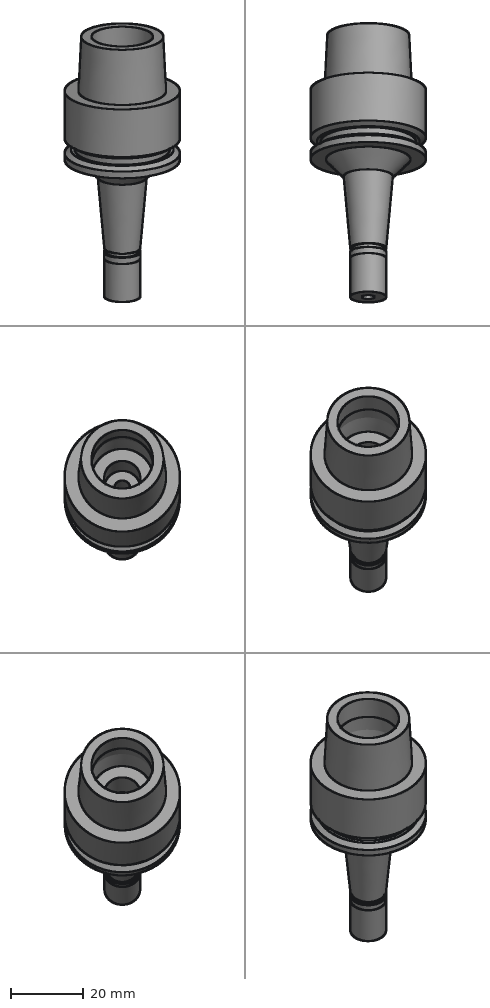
import cadquery as cq

overall_height = 76.0
collar_bottom_z = 11.2
collar_top_z = 13.0
neck_bottom_z = 14.1
neck_top_z = 34.95
flange_bottom_z = 40.0
lower_chamfer_z = 41.95
grip_groove_height = 2.1
grip_chamfer_height = 1.1
shoulder_z = 60.1

flange_radius = 32.0 / 2
grip_groove_radius = 13.2
grip_chamfer_width = 1.75
taper_base_radius = 12.15
taper_top_radius = 11.4
skirt_top_radius = 11.7
neck_top_radius = 6.85
nut_radius = 5.0
neck_bottom_radius = nut_radius
spigot_radius = 4.5
collar_radius = 5.1

clamp_mouth_radius = 8.5
clamp_mouth_depth = 6.45
clamp_undercut_radius = 9.5
clamp_undercut_depth = 12.0
clamp_depth = 17.3
relief_radius = nut_radius
relief_depth = 9.1
holder_bore_radius = 2.2
nut_bore_radius = 1.75

groove_bottom_z = lower_chamfer_z + grip_chamfer_height
groove_top_z = groove_bottom_z + grip_groove_height
upper_chamfer_z = groove_top_z + grip_chamfer_height
clamp_lip_z = overall_height - clamp_mouth_depth
clamp_cone_z = overall_height - clamp_undercut_depth
clamp_floor_z = overall_height - clamp_depth
relief_floor_z = clamp_floor_z - relief_depth


def revolve_about_z(outline):
    """Revolve a closed (radius, height) outline around the Z axis."""
    return cq.Workplane("XZ").polyline(outline).close().revolve(360, (0, 0), (0, 1))


def make_holder():
    """Taper-shank tool holder with a gripper groove, slim neck and stepped bore."""
    groove_edge_radius = flange_radius - grip_chamfer_width
    spigot_and_neck = [
        (holder_bore_radius, collar_top_z),
        (spigot_radius, collar_top_z),
        (spigot_radius, neck_bottom_z),
        (neck_bottom_radius, neck_bottom_z),
        (neck_top_radius, neck_top_z),
        (skirt_top_radius, flange_bottom_z),
    ]
    flange_and_grip_groove = [
        (flange_radius, flange_bottom_z),
        (flange_radius, lower_chamfer_z),
        (groove_edge_radius, groove_bottom_z),
        (grip_groove_radius, groove_bottom_z),
        (grip_groove_radius, groove_top_z),
        (groove_edge_radius, groove_top_z),
        (flange_radius, upper_chamfer_z),
        (flange_radius, shoulder_z),
    ]
    taper_shank = [
        (taper_base_radius, shoulder_z),
        (taper_top_radius, overall_height),
    ]
    stepped_bore = [
        (clamp_mouth_radius, overall_height),
        (clamp_mouth_radius, clamp_lip_z),
        (clamp_undercut_radius, clamp_lip_z),
        (clamp_undercut_radius, clamp_cone_z),
        (clamp_mouth_radius, clamp_floor_z),
        (relief_radius, clamp_floor_z),
        (relief_radius, relief_floor_z),
        (holder_bore_radius, relief_floor_z),
    ]
    return revolve_about_z(spigot_and_neck + flange_and_grip_groove + taper_shank + stepped_bore)


def make_nut():
    """Clamping nut below the spigot, with a slightly wider collar at its top."""
    return revolve_about_z([
        (nut_bore_radius, 0),
        (nut_radius, 0),
        (nut_radius, collar_bottom_z),
        (collar_radius, collar_bottom_z),
        (collar_radius, collar_top_z),
        (nut_bore_radius, collar_top_z),
    ])


holder = make_holder()
nut = make_nut()

result = cq.Compound.makeCompound([holder.val(), nut.val()])